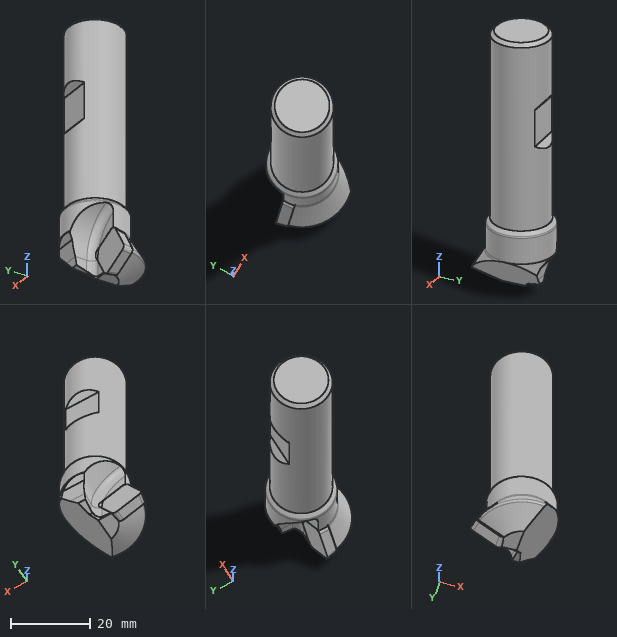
import cadquery as cq
import math

overall_length = 73.2
shank_diameter = 15.9
shank_radius = shank_diameter / 2
shank_chamfer = 1.0
collar_diameter = 18.2
collar_radius = collar_diameter / 2
collar_top_z = 20.5
collar_top_round = 0.6

upper_cone_angle = math.radians(60)
lower_cone_angle = math.radians(30)
head_radius = 13.1
head_rim_z = 4.75
head_bottom_z = 0.65
rim_round = 0.65
neck_round = 1.25

flat_bottom_z = 43.9
flat_top_z = 54.25
flat_depth = 1.7

clearance_top_z = 11.7
clearance_slope = 0.93

relief_profile = [
    (0, 0.2),
    (2.2, 2.35),
    (6.0, 3.4),
    (6.45, 5.8),
    (7.75, 9.9),
    (collar_radius, clearance_top_z),
]

rake_angle = 4.0
flute_runout_x = -11.0
flute_arc_radius = 14.3
flute_floor_x = -0.4
flute_floor_z = 5.8
flute_corner_radius = 2.05

insert_side = 9.5
insert_thickness = 3.15
insert_corner_radius = 1.25
insert_relief = 7.0
insert_tip_x, insert_tip_z = -14.0, 4.3
insert_tip_y = -0.1

margin = 29.3
pick_gap = 0.1


def make_turned_blank():
    """Shank, collar and conical head as one revolved solid."""
    neck_z = head_rim_z + (head_radius - collar_radius) * math.tan(upper_cone_angle)
    bottom_radius = head_radius - (head_rim_z - head_bottom_z) / math.tan(lower_cone_angle)
    shoulder_z = collar_top_z - (collar_radius - shank_radius)
    profile = [
        (0, head_bottom_z),
        (bottom_radius, head_bottom_z),
        (head_radius, head_rim_z),
        (collar_radius, neck_z),
        (collar_radius, shoulder_z),
        (shank_radius, collar_top_z),
        (shank_radius, overall_length - shank_chamfer),
        (shank_radius - shank_chamfer, overall_length),
        (0, overall_length),
    ]
    blank = cq.Workplane("XZ").polyline(profile).close().revolve(360, (0, 0), (0, 1))
    rounds = [
        (head_radius, head_rim_z, rim_round),
        (collar_radius, neck_z, neck_round),
        (collar_radius, shoulder_z, collar_top_round),
    ]
    for radius, z, round_radius in rounds:
        corner = cq.selectors.BoxSelector(
            (-radius - pick_gap, -radius - pick_gap, z - pick_gap),
            (radius + pick_gap, radius + pick_gap, z + pick_gap),
            boundingbox=True,
        )
        blank = blank.edges(corner).fillet(round_radius)
    return blank


def make_flat_cutter():
    """Clamping flat facing +Y, with 45 degree ends."""
    flat_y = shank_radius - flat_depth
    outer_y = flat_y + 2 * flat_depth
    return (
        cq.Workplane("YZ")
        .polyline([
            (flat_y, flat_bottom_z),
            (flat_y, flat_top_z),
            (outer_y, flat_top_z + 2 * flat_depth),
            (outer_y, flat_bottom_z - 2 * flat_depth),
        ])
        .close()
        .extrude(margin, both=True)
    )


def make_slanted_clearance():
    """Wedge that removes the head below a slanted plane on the +X side."""
    foot_x = collar_radius - clearance_slope * clearance_top_z
    reach_x = collar_radius + margin
    return (
        cq.Workplane("XZ")
        .polyline([
            (foot_x, 0),
            (collar_radius, clearance_top_z),
            (reach_x, clearance_top_z),
            (reach_x, 0),
        ])
        .close()
        .extrude(margin, both=True)
    )


def make_back_clearance():
    """Keeps the +Y half of the head inside the collar outline and narrows it downward."""
    under_relief = (
        cq.Workplane("YZ")
        .polyline(relief_profile)
        .lineTo(margin, clearance_top_z)
        .lineTo(margin, -margin)
        .lineTo(0, -margin)
        .close()
        .extrude(margin, both=True)
    )
    collar_zone = cq.Workplane("XY").circle(collar_radius).extrude(clearance_top_z)
    rim_relief = (
        cq.Workplane("XY")
        .rect(2 * margin, margin)
        .extrude(clearance_top_z)
        .translate((0, margin / 2, 0))
        .cut(collar_zone)
    )
    return under_relief.union(rim_relief)


def place_at_rake(shape):
    """Turn a shape from the XZ plane into the rake plane at the insert tip."""
    tip = (insert_tip_x, insert_tip_y, 0)
    axis_end = (insert_tip_x, insert_tip_y, 1)
    return shape.translate((0, insert_tip_y, 0)).rotate(tip, axis_end, rake_angle)


def make_flute_cutter():
    """Chip flute: curved floor running down to a vertical one, beside the rake face."""
    runout_from_center = flute_arc_radius - (flute_floor_x - flute_runout_x)
    arc_rise = math.sqrt(flute_arc_radius**2 - runout_from_center**2)
    runout_z = flute_floor_z + arc_rise
    cutter = (
        cq.Workplane("XZ")
        .moveTo(flute_floor_x, -margin)
        .lineTo(flute_floor_x, flute_floor_z)
        .tangentArcPoint((flute_runout_x, runout_z), relative=False)
        .lineTo(-margin, runout_z)
        .lineTo(-margin, -margin)
        .close()
        .extrude(-margin)
    )
    floor_edges = cq.selectors.BoxSelector(
        (flute_runout_x - pick_gap, -pick_gap, -margin - pick_gap),
        (flute_floor_x + pick_gap, pick_gap, runout_z + pick_gap),
        boundingbox=True,
    )
    cutter = cutter.edges(floor_edges).fillet(flute_corner_radius)
    return place_at_rake(cutter)


def make_insert():
    """Square insert, corner pointing outward, flanks relieved toward -Y."""
    insert = (
        cq.Workplane("XZ")
        .rect(insert_side, insert_side, centered=False)
        .extrude(insert_thickness, taper=insert_relief)
        .edges("not(|X or |Z)")
        .fillet(insert_corner_radius)
        .rotate((0, 0, 0), (0, 1, 0), math.degrees(lower_cone_angle))
        .translate((insert_tip_x, 0, insert_tip_z))
    )
    return place_at_rake(insert)


insert = make_insert()

body = (
    make_turned_blank()
    .cut(make_flat_cutter())
    .cut(make_slanted_clearance())
    .cut(make_back_clearance())
    .cut(make_flute_cutter())
    .cut(insert)
)

result = cq.Compound.makeCompound([body.solids().val(), insert.val()])